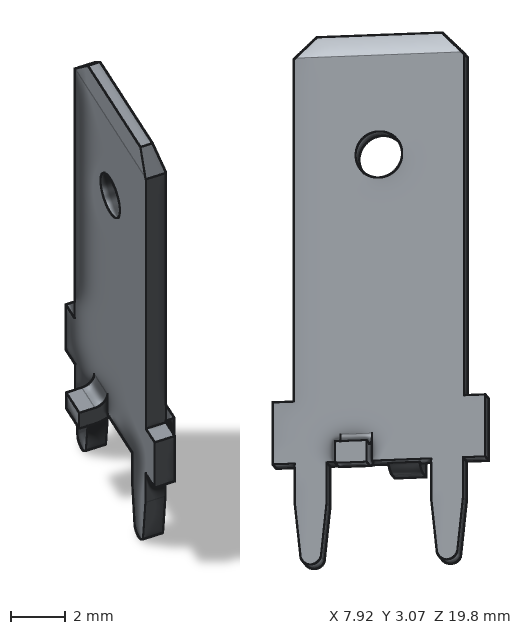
import cadquery as cq
import math

thickness = 0.81

blade_width = 6.35
blade_top = 16.0
tip_bevel_height = 0.79
tip_corner_size = 0.84
tip_thickness = 0.49
hole_diameter = 1.73
hole_from_top = 4.52

shoulder_width = 7.92
shoulder_height = 2.33

leg_length = 3.81
leg_spacing = 5.08
leg_width = 1.19
leg_straight_length = 1.5
leg_end_width = 0.76
leg_end_height = 0.28

overall_depth = 3.07
tab_width = 1.17
tab_offset = 0.84
tab_drop = 0.28
bend_inner_radius = 0.5

blade_half = blade_width / 2
half_thickness = thickness / 2


def extrude_through_plate(outline):
    """Extrude an XZ outline over the full plate thickness, centred on Y."""
    return outline.extrude(half_thickness, both=True)


def make_blade():
    """Blade with clipped top corners and both faces bevelled towards the tip."""
    bevel_start = blade_top - tip_bevel_height
    corner_start = blade_top - tip_corner_size
    tip_half = blade_half - tip_corner_size
    outline = cq.Workplane("XZ").polyline(
        [
            (-blade_half, 0),
            (blade_half, 0),
            (blade_half, corner_start),
            (tip_half, blade_top),
            (-tip_half, blade_top),
            (-blade_half, corner_start),
        ]
    ).close()
    tip_half_thickness = tip_thickness / 2
    side_profile = (
        cq.Workplane("YZ")
        .polyline(
            [
                (-half_thickness, 0),
                (half_thickness, 0),
                (half_thickness, bevel_start),
                (tip_half_thickness, blade_top),
                (-tip_half_thickness, blade_top),
                (-half_thickness, bevel_start),
            ]
        )
        .close()
        .extrude(blade_half, both=True)
    )
    return extrude_through_plate(outline).intersect(side_profile)


def make_shoulders():
    """Wide band at the foot of the blade, standing on Z = 0."""
    return cq.Workplane("XY").box(
        shoulder_width, thickness, shoulder_height, centered=(True, True, False)
    )


def make_leg(center_x):
    """Leg that is straight at the top, then tapers to a rounded end."""
    straight_end = -leg_straight_length
    taper_end = leg_end_height - leg_length
    half_width = leg_width / 2
    half_end = leg_end_width / 2
    outline = (
        cq.Workplane("XZ")
        .moveTo(center_x - half_width, 0)
        .lineTo(center_x - half_width, straight_end)
        .lineTo(center_x - half_end, taper_end)
        .threePointArc((center_x, -leg_length), (center_x + half_end, taper_end))
        .lineTo(center_x + half_width, straight_end)
        .lineTo(center_x + half_width, 0)
        .close()
    )
    return extrude_through_plate(outline)


def make_tab(center_x, side):
    """Strip of plate stock bent square out of the plate; side is +1 or -1 along Y."""
    bend_outer_radius = bend_inner_radius + thickness
    bend_y = half_thickness + bend_inner_radius
    bend_z = bend_outer_radius - tab_drop
    tab_end = overall_depth / 2
    diagonal = math.sin(math.radians(45))
    inner_diagonal = bend_inner_radius * diagonal
    outer_diagonal = bend_outer_radius * diagonal
    return (
        cq.Workplane("YZ", origin=(center_x - tab_width / 2, 0, 0))
        .moveTo(side * half_thickness, bend_z)
        .threePointArc(
            (side * (bend_y - inner_diagonal), bend_z - inner_diagonal),
            (side * bend_y, bend_z - bend_inner_radius),
        )
        .lineTo(side * tab_end, bend_z - bend_inner_radius)
        .lineTo(side * tab_end, -tab_drop)
        .lineTo(side * bend_y, -tab_drop)
        .threePointArc(
            (side * (bend_y - outer_diagonal), bend_z - outer_diagonal),
            (-side * half_thickness, bend_z),
        )
        .close()
        .extrude(tab_width)
    )


def make_hole():
    """Cutter for the round detent hole through the blade."""
    outline = (
        cq.Workplane("XZ")
        .center(0, blade_top - hole_from_top)
        .circle(hole_diameter / 2)
    )
    return extrude_through_plate(outline)


result = make_blade().union(make_shoulders())
for side in (-1, 1):
    result = result.union(make_leg(side * leg_spacing / 2))
    result = result.union(make_tab(side * tab_offset, side))
result = result.cut(make_hole())